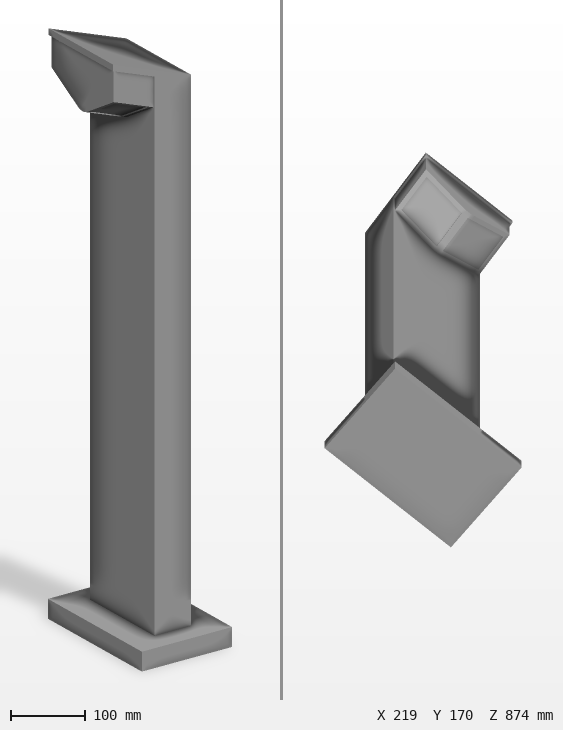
import cadquery as cq
import math

base_width = 219.0
base_depth = 147.0
base_height = 29.0

total_height = 874
post_width = 150.0
post_depth = 59.5
post_back = -43.0
roof_front = -170.0
roof_rise = 45.5
roof_thickness = 10.0

head_inset = 3.0
head_side_height = 45.5
keel_angle = math.radians(30)
keel_radius = 22.0

recess_depth = 2.0
recess_rim = 6.0
keel_strip_width = 10.5

post_front = post_back - post_depth
roof_slope = roof_rise / (post_back - roof_front)
roof_back_height = total_height - roof_rise
roof_underside = total_height - roof_thickness

head_front = roof_front + head_inset
head_half_width = post_width / 2 - head_inset
head_side_bottom = roof_underside - roof_slope * head_inset - head_side_height


def make_base():
    return cq.Workplane("XY").box(base_width, base_depth, base_height, centered=False).translate(
        (-base_width / 2, -base_depth, 0)
    )


def make_post_and_roof():
    """Side outline of the post and its overhanging roof, extruded across the width."""
    overhang_drop = roof_slope * (post_front - roof_front)
    return (
        cq.Workplane("YZ")
        .moveTo(post_back, 0)
        .lineTo(post_back, roof_back_height)
        .lineTo(roof_front, total_height)
        .lineTo(roof_front, roof_underside)
        .lineTo(post_front, roof_underside - overhang_drop)
        .lineTo(post_front, 0)
        .close()
        .extrude(post_width / 2, both=True)
    )


def sloped_v_bar(front, back, half_width, bottom_offset, height):
    """V-bottomed bar parallel to the roof.

    bottom_offset moves its underside square to the V faces of the head, upward when positive.
    """
    side_bottom = head_side_bottom - roof_slope * (front - head_front)
    keel_tip = side_bottom - head_half_width * math.tan(keel_angle) + bottom_offset / math.cos(keel_angle)
    bar_side_bottom = keel_tip + half_width * math.tan(keel_angle)
    top = side_bottom + height
    radius = keel_radius - bottom_offset
    arc_half_width = radius * math.sin(keel_angle)
    arc_end = keel_tip + arc_half_width * math.tan(keel_angle)
    arc_bottom = arc_end - radius * (1 - math.cos(keel_angle))
    section = (
        cq.Workplane("XZ", origin=(0, front, 0))
        .moveTo(-half_width, top)
        .lineTo(-half_width, bar_side_bottom)
        .lineTo(-arc_half_width, arc_end)
        .threePointArc((0, arc_bottom), (arc_half_width, arc_end))
        .lineTo(half_width, bar_side_bottom)
        .lineTo(half_width, top)
        .close()
    )
    path = (
        cq.Workplane("YZ")
        .moveTo(front, top)
        .lineTo(back, top - roof_slope * (back - front))
    )
    return section.sweep(path)


def make_head():
    """Head reaching into the post and up into the roof, so that all three fuse."""
    back = post_front + post_depth / 2
    height = head_side_height + roof_thickness / 2
    return sloped_v_bar(head_front, back, head_half_width, 0, height)


def make_recesses():
    """Two shallow cutters, within the rim and the keel strip left standing on the underside."""
    front = head_front + recess_rim
    back = post_front - recess_rim
    half_width = head_half_width - recess_rim
    above_floor = sloped_v_bar(front, back, half_width, recess_depth, head_side_height)
    down_to_below = sloped_v_bar(front, back, half_width, -recess_depth, head_side_height)
    keel_strip = (
        cq.Workplane("XY")
        .box(keel_strip_width, -roof_front, total_height, centered=(True, False, False))
        .translate((0, roof_front, 0))
    )
    return down_to_below.cut(above_floor).cut(keel_strip)


head = make_head().cut(make_recesses())
result = make_base().union(make_post_and_roof()).union(head)